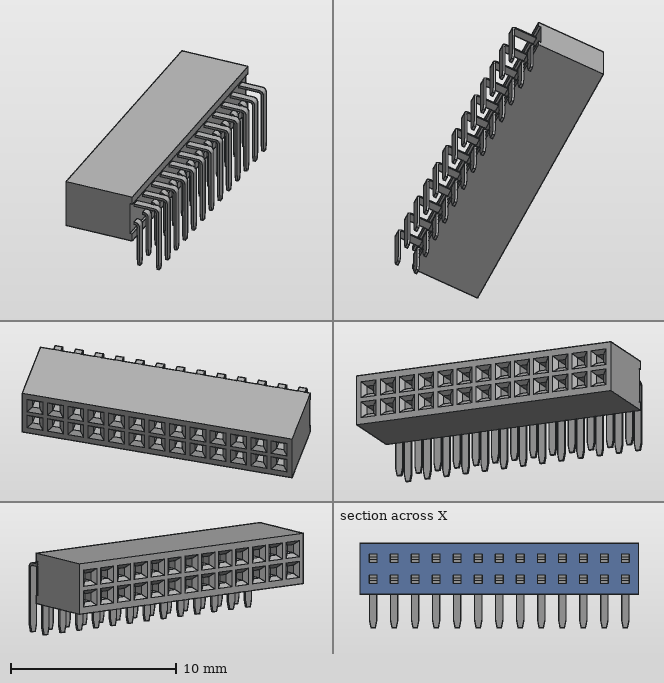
import cadquery as cq

body_depth = 4.4
body_length = 16.86
body_height = 3.1
recess_depth = 0.15
lip_height = 0.5

columns = 13
rows = 2
end_margin = 0.81
pitch = (body_length - 2 * end_margin) / (columns - 1)

mouth_size = 1.0
throat_width = 0.45
throat_height = 0.5
funnel_depth = 0.24
socket_depth = 3.37

pin_width = throat_width
pin_thickness = 0.15
pin_exposed = 0.17
bend_radius = 0.3
tip_length = 0.45
tip_width = 0.27
tail_gap = 0.07
tail_drop = 2.02

column_positions = [(i - (columns - 1) / 2) * pitch for i in range(columns)]
row_heights = [body_height / 2 + (i - (rows - 1) / 2) * pitch for i in range(rows)]


def make_body():
    block = cq.Workplane("XY").box(body_depth, body_length, body_height, centered=(False, True, False))
    groove = (
        cq.Workplane("XY")
        .box(recess_depth, body_length, body_height - 2 * lip_height, centered=(False, True, False))
        .translate((body_depth - recess_depth, 0, lip_height))
    )
    return block.cut(groove)


def make_socket(y, z):
    """Pyramidal lead-in followed by a straight rectangular throat."""
    funnel = (
        cq.Workplane("YZ", origin=(0, y, z))
        .rect(mouth_size, mouth_size)
        .workplane(offset=funnel_depth)
        .rect(throat_width, throat_height)
        .loft(ruled=True)
    )
    throat = cq.Workplane("YZ", origin=(0, y, z)).rect(throat_width, throat_height).extrude(socket_depth)
    return funnel.union(throat)


def make_contact(y, z, back_x):
    """Bent strip with its outer face at back_x and a tail that narrows at the tip."""
    front_x = back_x - pin_thickness
    top_z = z + pin_thickness / 2
    bottom_z = z - pin_thickness / 2
    start_x = socket_depth - pin_exposed
    bend_x = back_x - bend_radius
    bend_z = top_z - bend_radius
    inner_radius = bend_radius - pin_thickness
    strip = (
        cq.Workplane("XZ", origin=(0, y, 0))
        .moveTo(start_x, top_z)
        .lineTo(bend_x, top_z)
        .radiusArc((back_x, bend_z), bend_radius)
        .lineTo(back_x, -tail_drop)
        .lineTo(front_x, -tail_drop)
        .lineTo(front_x, bend_z)
        .radiusArc((bend_x, bottom_z), -inner_radius)
        .lineTo(start_x, bottom_z)
        .close()
        .extrude(pin_width / 2, both=True)
    )
    half_width = pin_width / 2
    half_tip = tip_width / 2
    for side in (-1, 1):
        wedge = (
            cq.Workplane("YZ", origin=(front_x, y, -tail_drop))
            .polyline([(side * half_tip, 0), (side * half_width, tip_length), (side * half_width, 0)])
            .close()
            .extrude(pin_thickness)
        )
        strip = strip.cut(wedge)
    return strip


result = make_body()
for row, z in enumerate(row_heights):
    back_x = body_depth + tail_gap + pin_thickness + row * pitch
    for y in column_positions:
        result = result.cut(make_socket(y, z)).union(make_contact(y, z, back_x))